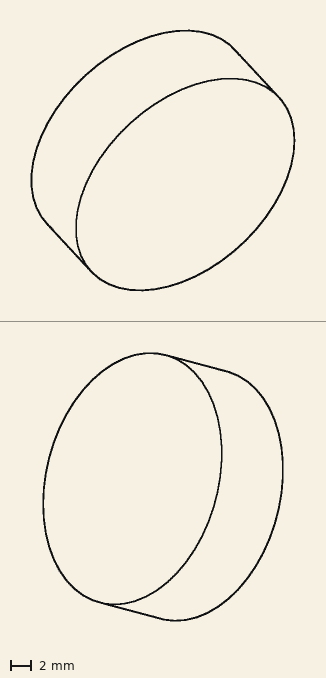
import cadquery as cq
import math

diameter = 25.0
edge_thickness = 8.35
dish_radius = 25.0

rim_radius = diameter / 2
dish_depth = dish_radius - math.sqrt(dish_radius**2 - rim_radius**2)

half_section = (
    cq.Workplane("XY")
    .moveTo(dish_depth, 0)
    .lineTo(edge_thickness, 0)
    .lineTo(edge_thickness, rim_radius)
    .lineTo(0, rim_radius)
    .radiusArc((dish_depth, 0), dish_radius)
    .close()
)

result = half_section.revolve(360, (0, 0, 0), (1, 0, 0))